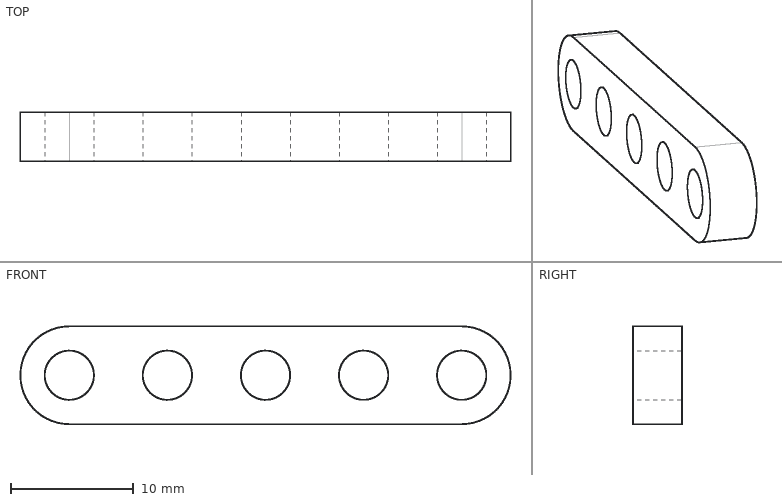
import cadquery as cq

length = 40.0
height = 8.0
thickness = 4.0
hole_diameter = 4.0
hole_count = 5

hole_pitch = (length - height) / (hole_count - 1)

bar = cq.Workplane("XZ").slot2D(length, height).extrude(thickness / 2, both=True)

holes = (
    cq.Workplane("XZ")
    .rarray(hole_pitch, 0.4, hole_count, 1)
    .circle(hole_diameter / 2)
    .extrude(thickness / 2, both=True)
)

result = bar.cut(holes)